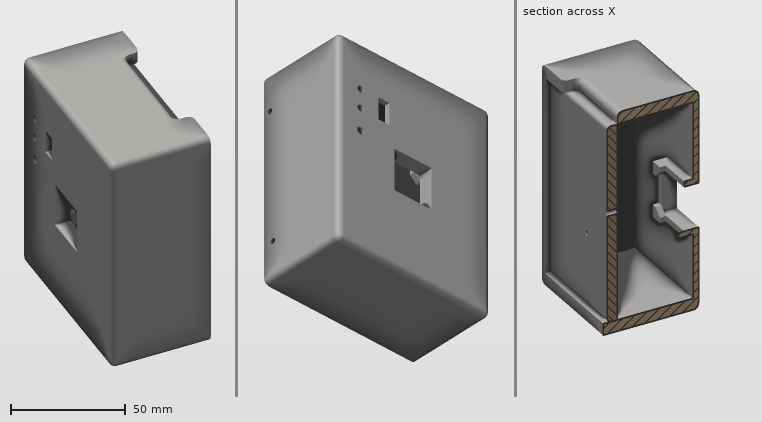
import cadquery as cq
WIDTH = 90.0
DEPTH = 48.0
HEIGHT = 110.0
FRONT_WALL = 3.0
SIDE_WALL = 3.0
END_WALL = 5.9
EDGE_RADIUS = 3.0
CAVITY_WIDTH = WIDTH - 2 * SIDE_WALL
CAVITY_HEIGHT = HEIGHT - 2 * END_WALL

COVER_BACK_GAP = 2.0
COVER_FRONT_GAP = 7.0
COVER_FRONT_Y = DEPTH - COVER_FRONT_GAP
COVER_BACK_Y = DEPTH - COVER_BACK_GAP
COVER_EDGE_RADIUS = 2.0
COVER_HOLE_DIAMETER = 2.4
COVER_HOLES = [(-9.0, 5.5), (9.0, -13.0)]

NOTCH_WIDTH = 52.1
NOTCH_FLOOR_Y = COVER_FRONT_Y
NOTCH_EDGE_RADIUS = 3.0
NOTCH_CORNER_RADIUS = 3.0
NOTCH_MOUTH_RADIUS = 3.0

FRONT_HOLES = [(-32.0, 30.0, 3.5), (-32.0, 20.0, 3.5), (-32.0, 8.0, 4.0)]

SLOT_WIDTH = 6.5
SLOT_HEIGHT = 11.7
SLOT_X = -18.2
SLOT_Z = 25.0

WINDOW_SIZE = 22.0
WINDOW_X = -0.9
WINDOW_Z = -3.1
WINDOW_DEPTH = 7.5
FRAME_WALL = 3.0
FRAME_SIZE = WINDOW_SIZE + 2 * FRAME_WALL

POST_REACH = 3.2
POST_SIZE = FRAME_WALL + POST_REACH
POST_CHAMFER = 3.6
POST_LENGTH = 3.0
POST_CORNERS = [(1, 1), (1, -1), (-1, -1)]

SIDE_HOLE_DIAMETER = 3.0
SIDE_HOLES = [(3.5, 35.0), (5.5, -35.0)]


def block(x_size, z_size, x, z, y_front, y_back):
    """Box centred on (x, z) that runs from y_front to y_back."""
    return cq.Workplane("XY").box(x_size, y_back - y_front, z_size).translate((x, (y_front + y_back) / 2, z))


def rod(diameter, x, z, y_front, y_back):
    """Cylinder along Y."""
    return cq.Workplane(cq.Solid.makeCylinder(
        diameter / 2, y_back - y_front, cq.Vector(x, y_front, z), cq.Vector(0, 1, 0)))


def make_shell():
    outer = block(WIDTH, HEIGHT, 0, 0, 0, DEPTH)
    outer = outer.edges("|Y").fillet(EDGE_RADIUS).faces("<Y").edges().fillet(EDGE_RADIUS)
    return outer.cut(block(CAVITY_WIDTH, CAVITY_HEIGHT, 0, 0, FRONT_WALL, DEPTH))


def make_notch():
    """Cutter with a quarter-round floor edge, whose corners are rounded as by a rolling ball."""
    half = NOTCH_WIDTH / 2
    round_y = NOTCH_FLOOR_Y - NOTCH_EDGE_RADIUS
    round_z = HEIGHT / 2 - NOTCH_EDGE_RADIUS
    corner_reach = NOTCH_EDGE_RADIUS + NOTCH_CORNER_RADIUS

    def cylinder_along_x(radius, x_start, length):
        return cq.Solid.makeCylinder(radius, length, cq.Vector(x_start, round_y, round_z), cq.Vector(1, 0, 0))

    upper_z = HEIGHT / 2 - NOTCH_EDGE_RADIUS / 2
    notch = block(NOTCH_WIDTH, NOTCH_EDGE_RADIUS, 0, upper_z, round_y, DEPTH)
    notch = notch.cut(cq.Workplane(cylinder_along_x(NOTCH_EDGE_RADIUS, -half, NOTCH_WIDTH)))
    for side in (-1, 1):
        spine_x = side * (half - NOTCH_CORNER_RADIUS)
        ball_path = cq.Solid.makeTorus(
            corner_reach, NOTCH_CORNER_RADIUS, cq.Vector(spine_x, round_y, round_z), cq.Vector(1, 0, 0))
        corner_start = min(spine_x, side * half)
        corner = cylinder_along_x(corner_reach, corner_start, NOTCH_CORNER_RADIUS).cut(ball_path)
        notch = notch.cut(cq.Workplane(corner))

    lower_height = END_WALL - NOTCH_EDGE_RADIUS
    lower = block(NOTCH_WIDTH, lower_height, 0, round_z - lower_height / 2, NOTCH_FLOOR_Y, DEPTH)
    lower = lower.faces("<Y").edges("|Z").fillet(NOTCH_CORNER_RADIUS)
    return notch.union(lower)


def cut_notch(body):
    body = body.cut(make_notch())
    half = NOTCH_WIDTH / 2
    margin = 0.1
    mouth_edges = cq.selectors.BoxSelector(
        (-half - margin, DEPTH - margin, HEIGHT / 2 - END_WALL - margin),
        (half + margin, DEPTH + margin, HEIGHT / 2 + margin))
    return body.edges("|Z").edges(mouth_edges).fillet(NOTCH_MOUTH_RADIUS)


def make_window_frame():
    """Block behind the front wall, for the window to pass through, with chamfered posts on its rear."""
    frame = block(FRAME_SIZE, FRAME_SIZE, WINDOW_X, WINDOW_Z, FRONT_WALL, WINDOW_DEPTH)
    post_offset = (FRAME_SIZE - POST_SIZE) / 2
    for x_side, z_side in POST_CORNERS:
        post = block(
            POST_SIZE, POST_SIZE, x_side * post_offset, z_side * post_offset,
            WINDOW_DEPTH, WINDOW_DEPTH + POST_LENGTH)
        inner_edge = cq.selectors.NearestToPointSelector((0, WINDOW_DEPTH + POST_LENGTH / 2, 0))
        post = post.edges("|Y").edges(inner_edge).chamfer(POST_CHAMFER)
        frame = frame.union(post.translate((WINDOW_X, 0, WINDOW_Z)))
    return frame


def make_housing():
    housing = cut_notch(make_shell()).union(make_window_frame())
    housing = housing.cut(block(WINDOW_SIZE, WINDOW_SIZE, WINDOW_X, WINDOW_Z, 0, WINDOW_DEPTH))
    housing = housing.cut(block(SLOT_WIDTH, SLOT_HEIGHT, SLOT_X, SLOT_Z, 0, FRONT_WALL))
    for x, z, diameter in FRONT_HOLES:
        housing = housing.cut(rod(diameter, x, z, 0, FRONT_WALL))
    for rear_gap, z in SIDE_HOLES:
        hole = cq.Solid.makeCylinder(
            SIDE_HOLE_DIAMETER / 2, SIDE_WALL, cq.Vector(-WIDTH / 2, DEPTH - rear_gap, z), cq.Vector(1, 0, 0))
        housing = housing.cut(cq.Workplane(hole))
    return housing


def make_cover():
    cover = block(CAVITY_WIDTH, CAVITY_HEIGHT, 0, 0, COVER_FRONT_Y, COVER_BACK_Y)
    cover = cover.faces(">Y").edges().fillet(COVER_EDGE_RADIUS)
    for x, z in COVER_HOLES:
        cover = cover.cut(rod(COVER_HOLE_DIAMETER, x, z, COVER_FRONT_Y, COVER_BACK_Y))
    return cover


housing = make_housing()
cover = make_cover()
result = cq.Compound.makeCompound([housing.val(), cover.val()])